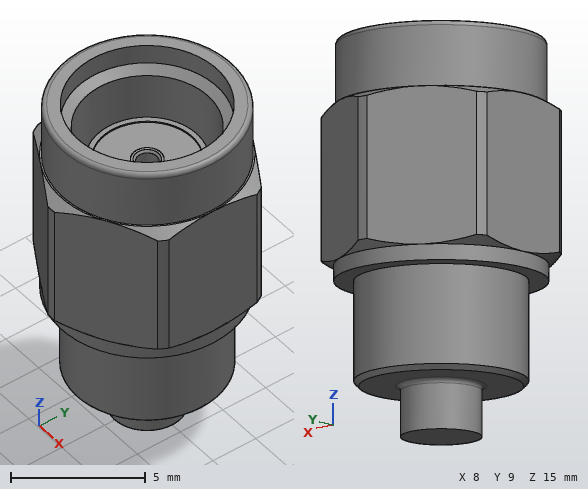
import cadquery as cq
import math

total_height = 15.0

nut_bottom = 5.9
hex_bottom = 6.5
hex_top = 12.5
across_flats = 8.0
corner_radius = 4.5
hex_chamfer_angle = 30.0
nose_radius = 3.93
nose_fillet = 0.2
mouth_radius = 3.22
mouth_depth = 0.87
thread_radius = 2.82
mouth_cone_depth = 0.27

barrel_radius = 3.25
barrel_bottom = 1.92
barrel_chamfer = 0.2
stem_radius = 1.52
stem_fillet = 0.18
shoulder_height = 9.3
sleeve_radius = 2.3
sleeve_face_depth = 2.75
gasket_radius = 0.33

insulator_radius = 2.07
insulator_recess = 0.06
contact_radius = 0.63
contact_rise = 0.05
socket_mouth_radius = 0.52
socket_radius = 0.44
socket_depth = 3.0

collar_radius = across_flats / 2
hex_chamfer_drop = (corner_radius - collar_radius) * math.tan(math.radians(hex_chamfer_angle))
mouth_floor = total_height - mouth_depth
thread_top = mouth_floor - mouth_cone_depth
gasket_center = sleeve_radius + gasket_radius
gasket_crest = shoulder_height + gasket_radius
sleeve_face = total_height - sleeve_face_depth
insulator_face = sleeve_face - insulator_recess
contact_face = insulator_face + contact_rise
socket_cone_depth = socket_mouth_radius - socket_radius


def revolve_about_z(profile):
    """Turn a closed (radius, height) profile on the XZ plane around the Z axis."""
    return profile.close().revolve(360, (0, 0, 0), (0, 1, 0))


def cylinder(radius, bottom, top):
    return cq.Workplane("XY").workplane(offset=bottom).circle(radius).extrude(top - bottom)


def make_hexagon():
    """Hexagon with corners on the Y axis, its corners turned round and chamfered at both ends."""
    prism = (
        cq.Workplane("XY")
        .workplane(offset=hex_bottom)
        .polygon(6, across_flats, circumscribed=True)
        .extrude(hex_top - hex_bottom)
    )
    turned_envelope = revolve_about_z(
        cq.Workplane("XZ")
        .moveTo(0, hex_bottom)
        .lineTo(collar_radius, hex_bottom)
        .lineTo(corner_radius, hex_bottom + hex_chamfer_drop)
        .lineTo(corner_radius, hex_top - hex_chamfer_drop)
        .lineTo(collar_radius, hex_top)
        .lineTo(0, hex_top)
    )
    return prism.intersect(turned_envelope)


def make_nut_bore():
    """Barrel seat, threaded bore, conical step and wide mouth, from the bottom up."""
    return revolve_about_z(
        cq.Workplane("XZ")
        .moveTo(0, nut_bottom)
        .lineTo(barrel_radius, nut_bottom)
        .lineTo(barrel_radius, gasket_crest)
        .lineTo(thread_radius, gasket_crest)
        .lineTo(thread_radius, thread_top)
        .lineTo(mouth_radius, mouth_floor)
        .lineTo(mouth_radius, total_height)
        .lineTo(0, total_height)
    )


def make_coupling_nut():
    collar = cylinder(collar_radius, nut_bottom, hex_bottom)
    nose = cylinder(nose_radius, hex_top, total_height).faces(">Z").edges().fillet(nose_fillet)
    return make_hexagon().union(collar).union(nose).cut(make_nut_bore())


def make_body_blank():
    """Stem, chamfered barrel, shoulder with the rounded gasket ring, and front sleeve."""
    arc_leg = gasket_radius * math.sqrt(0.5)
    fillet_leg = stem_fillet * (1 - math.sqrt(0.5))
    return revolve_about_z(
        cq.Workplane("XZ")
        .lineTo(stem_radius, 0)
        .lineTo(stem_radius, barrel_bottom - stem_fillet)
        .threePointArc(
            (stem_radius + fillet_leg, barrel_bottom - fillet_leg),
            (stem_radius + stem_fillet, barrel_bottom),
        )
        .lineTo(barrel_radius - barrel_chamfer, barrel_bottom)
        .lineTo(barrel_radius, barrel_bottom + barrel_chamfer)
        .lineTo(barrel_radius, shoulder_height)
        .lineTo(gasket_center + gasket_radius, shoulder_height)
        .threePointArc(
            (gasket_center + arc_leg, shoulder_height + arc_leg),
            (gasket_center, gasket_crest),
        )
        .threePointArc(
            (gasket_center - arc_leg, shoulder_height + arc_leg),
            (sleeve_radius, shoulder_height),
        )
        .lineTo(sleeve_radius, sleeve_face)
        .lineTo(0, sleeve_face)
    )


def make_socket():
    """Blind contact hole with a conical lead-in."""
    return revolve_about_z(
        cq.Workplane("XZ")
        .moveTo(0, contact_face - socket_depth)
        .lineTo(socket_radius, contact_face - socket_depth)
        .lineTo(socket_radius, contact_face - socket_cone_depth)
        .lineTo(socket_mouth_radius, contact_face)
        .lineTo(0, contact_face)
    )


def make_connector_body():
    recess = cylinder(insulator_radius, insulator_face, sleeve_face)
    contact = cylinder(contact_radius, insulator_face, contact_face)
    return make_body_blank().cut(recess).union(contact).cut(make_socket())


coupling_nut = make_coupling_nut().solids()
connector_body = make_connector_body().solids()

result = cq.Compound.makeCompound([coupling_nut.val(), connector_body.val()])